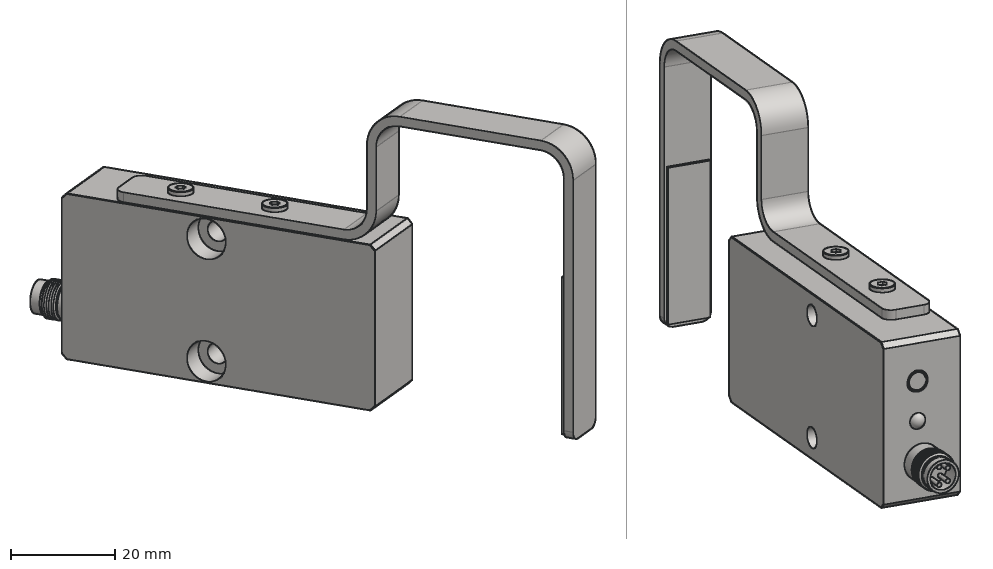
import cadquery as cq
import math

overall_length = 117.9
overall_height = 61.0
housing_left = 9.1
housing_length = 66.8
housing_depth = 16.5
housing_height = 34.0
housing_chamfer = 1.1
face_edge_chamfer = 0.1
housing_right = housing_left + housing_length

mount_x = 40.0
mount_pitch = 25.0
mount_hole_diameter = 4.2
counterbore_diameter = 8.3
counterbore_depth = 5.0

button_y = 9.2
button_z = 25.1
button_outer_diameter = 4.4
button_inner_diameter = 3.7
button_groove_depth = 0.4

lamp_y = button_y
lamp_z = 17.0
lamp_diameter = 3.3
lamp_height = 1.1

plug_y = housing_depth / 2
plug_z = 8.5
nose_diameter = 6.7
nose_length = 2.0
neck_diameter = 6.4
collar_diameter = 7.5
collar_length = 3.1
thread_diameter = 7.8
thread_root_diameter = 6.7
thread_start = 2.5
thread_pitch = 1.0
thread_turns = 3
socket_diameter = 5.4
socket_depth = 4.0
pin_diameter = 1.0
pin_length = 3.4
pin_circle_diameter = 3.8
pin_angles = (45, 105, -45, -105)

strip_thickness = 2.0
strip_width = 10.0
strip_front = 0.5
strip_left = 20.0
strip_bottom = 0.5
strip_corner_radius = 2.0
bend_inner_radius = 5.0
bend_outer_radius = bend_inner_radius + strip_thickness
strip_middle_y = strip_front + strip_width / 2

reflector_thickness = 0.7
reflector_width = 9.0
reflector_bottom = 1.4
reflector_top = 33.5

screw_x = 31.8
screw_pitch = 20.0
screw_count = 2
screw_head_diameter = 5.0
screw_head_height = 1.0
screw_head_chamfer = 0.1
hex_size = 2.0
hex_depth = 0.6


def x_cylinder(diameter, start, length, y, z):
    """Cylinder along +X that begins at the given start."""
    plane = cq.Plane(origin=(start, y, z), xDir=(0, 1, 0), normal=(1, 0, 0))
    return cq.Workplane(plane).circle(diameter / 2).extrude(length)


def make_housing_block():
    """Chamfered block with two counterbored holes through its depth."""
    block = (
        cq.Workplane("XY")
        .box(housing_length, housing_depth, housing_height, centered=False)
        .translate((housing_left, 0, 0))
        .edges("|Y")
        .chamfer(housing_chamfer)
        .faces("<Y or >Y")
        .chamfer(face_edge_chamfer)
    )
    for side in (-1, 1):
        mount_z = housing_height / 2 + side * mount_pitch / 2
        hole_plane = cq.Plane(origin=(mount_x, 0, mount_z), xDir=(1, 0, 0), normal=(0, -1, 0))
        hole = cq.Workplane(hole_plane).circle(mount_hole_diameter / 2).extrude(-housing_depth)
        counterbore = cq.Workplane(hole_plane).circle(counterbore_diameter / 2).extrude(-counterbore_depth)
        block = block.cut(hole).cut(counterbore)
    return block


def make_button_groove():
    """Shallow ring groove that outlines the button."""
    outer = x_cylinder(button_outer_diameter, housing_left, button_groove_depth, button_y, button_z)
    inner = x_cylinder(button_inner_diameter, housing_left, button_groove_depth, button_y, button_z)
    return outer.cut(inner)


def make_lamp():
    """Spherical cap that bulges out of the end face."""
    base_radius = lamp_diameter / 2
    sphere_radius = (base_radius**2 + lamp_height**2) / (2 * lamp_height)
    sphere_x = housing_left - lamp_height + sphere_radius
    sphere = cq.Workplane("XY").sphere(sphere_radius).translate((sphere_x, lamp_y, lamp_z))
    envelope = x_cylinder(lamp_diameter, housing_left - lamp_height, lamp_height, lamp_y, lamp_z)
    return sphere.intersect(envelope)


def make_thread_ridges():
    """Flat-crested ridges around the plug axis, on a cylindrical root."""
    root = thread_root_diameter / 2
    crest = thread_diameter / 2
    profile = cq.Workplane("XY").moveTo(thread_start, 0).lineTo(thread_start, root)
    for turn in range(thread_turns):
        ridge_start = thread_start + turn * thread_pitch
        profile = profile.lineTo(ridge_start + thread_pitch / 4, crest)
        profile = profile.lineTo(ridge_start + thread_pitch * 3 / 4, crest)
        profile = profile.lineTo(ridge_start + thread_pitch, root)
    thread_end = thread_start + thread_turns * thread_pitch
    ridges = profile.lineTo(thread_end, 0).close().revolve(360, (0, 0, 0), (1, 0, 0))
    return ridges.translate((0, plug_y, plug_z))


def make_plug():
    """Round plug with nose, thread, collar, and contact pins in a socket."""
    plug = x_cylinder(neck_diameter, 0, housing_left, plug_y, plug_z)
    plug = plug.union(x_cylinder(nose_diameter, 0, nose_length, plug_y, plug_z))
    plug = plug.union(make_thread_ridges())
    collar_start = housing_left - collar_length
    plug = plug.union(x_cylinder(collar_diameter, collar_start, collar_length, plug_y, plug_z))
    plug = plug.cut(x_cylinder(socket_diameter, 0, socket_depth, plug_y, plug_z))
    pin_start = socket_depth - pin_length
    for angle in pin_angles:
        pin_y = plug_y - pin_circle_diameter / 2 * math.cos(math.radians(angle))
        pin_z = plug_z + pin_circle_diameter / 2 * math.sin(math.radians(angle))
        plug = plug.union(x_cylinder(pin_diameter, pin_start, pin_length, pin_y, pin_z))
    return plug


def make_housing():
    return make_housing_block().cut(make_button_groove()).union(make_lamp()).union(make_plug())


def make_strip():
    """Flat strip bent up, across and down, with rounded end corners."""
    inner = bend_inner_radius
    outer = bend_outer_radius
    foot_top = housing_height + strip_thickness
    riser_left = housing_right - strip_thickness
    leg_left = overall_length - strip_thickness
    ceiling = overall_height - strip_thickness
    diagonal = math.sqrt(0.5)

    foot_x, foot_z = housing_right - outer, housing_height + outer
    rise_x, rise_z = riser_left + outer, overall_height - outer
    leg_x, leg_z = overall_length - outer, overall_height - outer

    profile = (
        cq.Workplane("XZ", origin=(0, strip_front, 0))
        .moveTo(strip_left, housing_height)
        .lineTo(foot_x, housing_height)
        .threePointArc((foot_x + outer * diagonal, foot_z - outer * diagonal), (housing_right, foot_z))
        .lineTo(housing_right, rise_z)
        .threePointArc((rise_x - inner * diagonal, rise_z + inner * diagonal), (rise_x, ceiling))
        .lineTo(leg_x, ceiling)
        .threePointArc((leg_x + inner * diagonal, leg_z + inner * diagonal), (leg_left, leg_z))
        .lineTo(leg_left, strip_bottom)
        .lineTo(overall_length, strip_bottom)
        .lineTo(overall_length, leg_z)
        .threePointArc((leg_x + outer * diagonal, leg_z + outer * diagonal), (leg_x, overall_height))
        .lineTo(rise_x, overall_height)
        .threePointArc((rise_x - outer * diagonal, rise_z + outer * diagonal), (riser_left, rise_z))
        .lineTo(riser_left, foot_z)
        .threePointArc((foot_x + inner * diagonal, foot_z - inner * diagonal), (foot_x, foot_top))
        .lineTo(strip_left, foot_top)
        .close()
    )
    strip = profile.extrude(-strip_width)
    strip = strip.faces("<X").edges("|Z").fillet(strip_corner_radius)
    return strip.faces("<Z").edges("|X").fillet(strip_corner_radius)


def make_reflector():
    """Thin pad on the inner face of the hanging leg."""
    reflector_front = strip_middle_y - reflector_width / 2
    reflector_left = overall_length - strip_thickness - reflector_thickness
    return (
        cq.Workplane("XY")
        .box(reflector_thickness, reflector_width, reflector_top - reflector_bottom, centered=False)
        .translate((reflector_left, reflector_front, reflector_bottom))
    )


def make_screw_head(x):
    """Low round head with a hexagon socket."""
    return (
        cq.Workplane("XY", origin=(x, strip_middle_y, housing_height + strip_thickness))
        .circle(screw_head_diameter / 2)
        .extrude(screw_head_height)
        .faces(">Z")
        .chamfer(screw_head_chamfer)
        .faces(">Z")
        .workplane()
        .transformed(rotate=(0, 0, 90))
        .polygon(6, hex_size)
        .cutBlind(-hex_depth)
    )


def make_bracket():
    bracket = make_strip().union(make_reflector())
    for index in range(screw_count):
        bracket = bracket.union(make_screw_head(screw_x + index * screw_pitch))
    return bracket


housing = make_housing()
bracket = make_bracket()

result = cq.Compound.makeCompound([housing.val(), bracket.val()])